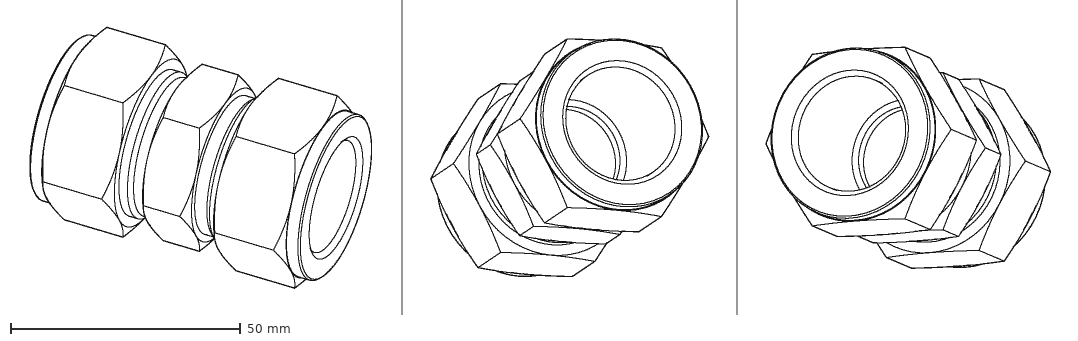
import cadquery as cq
import math

overall_length = 65.16
half_length = overall_length / 2

nut_flats = 38.1
nut_length = 17.5
body_flats = 34.925
body_hex_length = 11.8
corner_bevel_angle = 30.0

rim_length = 3.15
rim_diameter = 37.75
rim_chamfer = 0.4

neck_diameter = 31.6
collar_diameter = 33.4
collar_length = 2.05
collar_taper_length = 1.05

bore_diameter = 22.4
socket_diameter = 25.5
socket_depth = 31.2
socket_mouth_diameter = 27.8
socket_mouth_depth = 1.15

nut_outer_x = half_length - rim_length
nut_inner_x = nut_outer_x - nut_length
nut_middle_x = nut_outer_x - nut_length / 2
collar_end_x = nut_inner_x - collar_length
taper_end_x = collar_end_x - collar_taper_length


def revolve_about_x(points):
    """Solid of revolution about X from an outline of (x, radius) points."""
    return cq.Workplane("XY").polyline(points).close().revolve(360, (0, 0, 0), (1, 0, 0))


def beveled_hexagon(start_x, length, flats):
    """Hexagonal prism along X with both ends turned to a cone that meets the flats at their middles."""
    end_x = start_x + length
    corner_radius = flats / math.sqrt(3)
    face_radius = flats / 2
    bevel_length = (corner_radius - face_radius) * math.tan(math.radians(corner_bevel_angle))
    prism = cq.Workplane("YZ", origin=(start_x, 0, 0)).polygon(6, 2 * corner_radius).extrude(length)
    turned_blank = revolve_about_x([
        (start_x, 0),
        (start_x, face_radius),
        (start_x + bevel_length, corner_radius),
        (end_x - bevel_length, corner_radius),
        (end_x, face_radius),
        (end_x, 0),
    ])
    return prism.intersect(turned_blank)


def round_half():
    """Neck, collar and end rim on the +X half; collar and rim meet inside the nut."""
    return revolve_about_x([
        (0, 0),
        (0, neck_diameter / 2),
        (taper_end_x, neck_diameter / 2),
        (collar_end_x, collar_diameter / 2),
        (nut_middle_x, collar_diameter / 2),
        (nut_middle_x, rim_diameter / 2),
        (half_length - rim_chamfer, rim_diameter / 2),
        (half_length, rim_diameter / 2 - rim_chamfer),
        (half_length, 0),
    ])


def bore_half():
    """Bore, tube socket and its conical mouth on the +X half."""
    return revolve_about_x([
        (0, 0),
        (0, bore_diameter / 2),
        (half_length - socket_depth, bore_diameter / 2),
        (half_length - socket_depth, socket_diameter / 2),
        (half_length - socket_mouth_depth, socket_diameter / 2),
        (half_length, socket_mouth_diameter / 2),
        (half_length, 0),
    ])


def with_mirror(half):
    """The given +X half joined to its mirror image."""
    return half.union(half.mirror("YZ"))


nut_half = round_half().union(beveled_hexagon(nut_inner_x, nut_length, nut_flats))
body_hexagon = beveled_hexagon(-body_hex_length / 2, body_hex_length, body_flats)

result = with_mirror(nut_half).union(body_hexagon).cut(with_mirror(bore_half()))